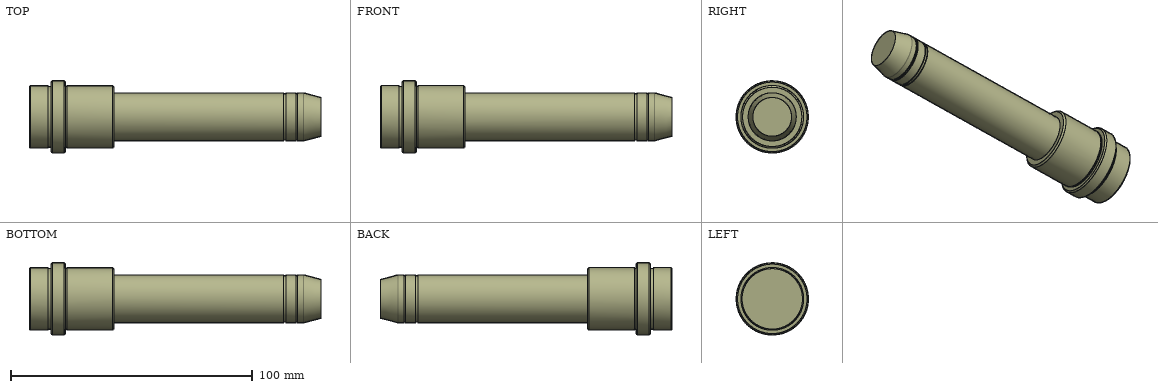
import cadquery as cq
import math


LENGTH = 121.0
HEAD_DIAMETER = 26.0
COLLAR_DIAMETER = 30.0
SHANK_DIAMETER = 20.0

HEAD_LENGTH = 35.2
HEAD_FRONT_CHAMFER = 0.5
HEAD_REAR_CHAMFER = 0.7
COLLAR_START = 9.0
COLLAR_WIDTH = 6.0
COLLAR_CHAMFER = 0.6

RELIEF_DEPTH = 0.4
FRONT_RELIEF_WIDTH = 1.2
REAR_RELIEF_WIDTH = 0.7

GROOVE_DEPTH = 0.4
WIDE_GROOVE_START = 105.4
WIDE_GROOVE_WIDTH = 1.1
NARROW_GROOVE_START = 110.5
NARROW_GROOVE_WIDTH = 0.7
NOSE_LENGTH = 7.3
NOSE_HALF_ANGLE = 15.0


def cylinder(start, length, diameter):
    """Solid cylinder along X beginning at x = start."""
    return cq.Workplane("YZ", origin=(start, 0, 0)).circle(diameter / 2).extrude(length)


def ring_groove(start, width, outer_diameter, depth):
    """Cutting ring that leaves a square groove of the given depth."""
    return cylinder(start, width, outer_diameter).cut(
        cylinder(start, width, outer_diameter - 2 * depth)
    )


head = cylinder(0, HEAD_LENGTH, HEAD_DIAMETER)
head = head.faces("<X").chamfer(HEAD_FRONT_CHAMFER)
head = head.faces(">X").chamfer(HEAD_REAR_CHAMFER)
collar_end = COLLAR_START + COLLAR_WIDTH
for start, width in (
    (COLLAR_START - FRONT_RELIEF_WIDTH, FRONT_RELIEF_WIDTH),
    (collar_end, REAR_RELIEF_WIDTH),
):
    head = head.cut(ring_groove(start, width, HEAD_DIAMETER, RELIEF_DEPTH))

collar = cylinder(COLLAR_START, COLLAR_WIDTH, COLLAR_DIAMETER)
collar = collar.faces("<X or >X").chamfer(COLLAR_CHAMFER)

shank = cylinder(HEAD_LENGTH, LENGTH - HEAD_LENGTH, SHANK_DIAMETER)
nose_drop = NOSE_LENGTH * math.tan(math.radians(NOSE_HALF_ANGLE))
shank = shank.faces(">X").edges().chamfer(NOSE_LENGTH, nose_drop)
for start, width in (
    (WIDE_GROOVE_START, WIDE_GROOVE_WIDTH),
    (NARROW_GROOVE_START, NARROW_GROOVE_WIDTH),
):
    shank = shank.cut(ring_groove(start, width, SHANK_DIAMETER, GROOVE_DEPTH))

result = head.union(collar).union(shank)